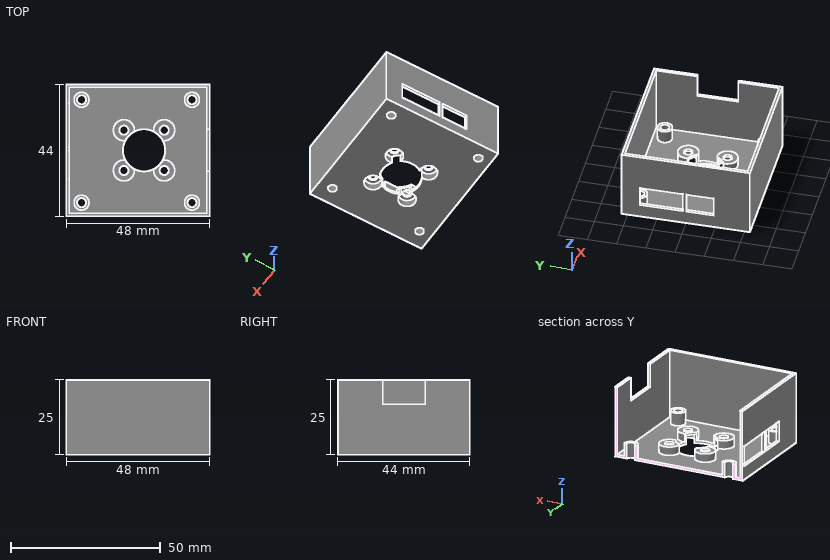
import cadquery as cq
import math

length, width, height = 48.0, 44.0, 25.0
wall = 1.0
mid_y = width / 2

screw_diameter = 3.0

post_diameter = 5.0
post_top = 5.5
post_x_min, post_y_min = 5.2, 4.55
post_spacing_x, post_spacing_y = 36.8, 34.3

opening_diameter = 14.0
opening_x = 26.0
boss_circle_diameter = 19.0
boss_diameter = 7.0
boss_top = 4.0
boss_roof = 0.8
boss_pocket_diameter = 6.0

window_bottom, window_top = 4.9, 12.05
window_spans = [(6.3, 21.0), (22.15, 31.55)]

notch_width = 14.0
notch_depth = 8.2


def block(x_min, x_max, y_min, y_max, z_min, z_max):
    """Axis-aligned block between the given limits."""
    size = (x_max - x_min, y_max - y_min, z_max - z_min)
    return cq.Workplane("XY").box(*size, centered=False).translate((x_min, y_min, z_min))


def cylinders(points, diameter, z_min, z_max):
    """Upright cylinders of one diameter, one at each point."""
    return (
        cq.Workplane("XY")
        .workplane(offset=z_min)
        .pushPoints(points)
        .circle(diameter / 2)
        .extrude(z_max - z_min)
    )


post_points = [
    (post_x_min + i * post_spacing_x, post_y_min + j * post_spacing_y)
    for i in (0, 1)
    for j in (0, 1)
]
boss_offset = boss_circle_diameter / 2 * math.sqrt(0.5)
boss_points = [
    (opening_x + side_x * boss_offset, mid_y + side_y * boss_offset)
    for side_x in (-1, 1)
    for side_y in (-1, 1)
]

body = block(0, length, 0, width, 0, height)
body = body.cut(block(wall, length - wall, wall, width - wall, wall, height))

body = body.union(cylinders(post_points, post_diameter, 0, post_top))
body = body.union(cylinders(boss_points, boss_diameter, 0, boss_top))

body = body.cut(cylinders([(opening_x, mid_y)], opening_diameter, 0, boss_top))
body = body.cut(cylinders(post_points + boss_points, screw_diameter, 0, post_top))
body = body.cut(cylinders(boss_points, boss_pocket_diameter, 0, boss_top - boss_roof))

for near_edge, far_edge in window_spans:
    body = body.cut(block(0, wall, width - far_edge, width - near_edge, window_bottom, window_top))

notch_half = notch_width / 2
body = body.cut(
    block(length - wall, length, mid_y - notch_half, mid_y + notch_half, height - notch_depth, height)
)

result = body